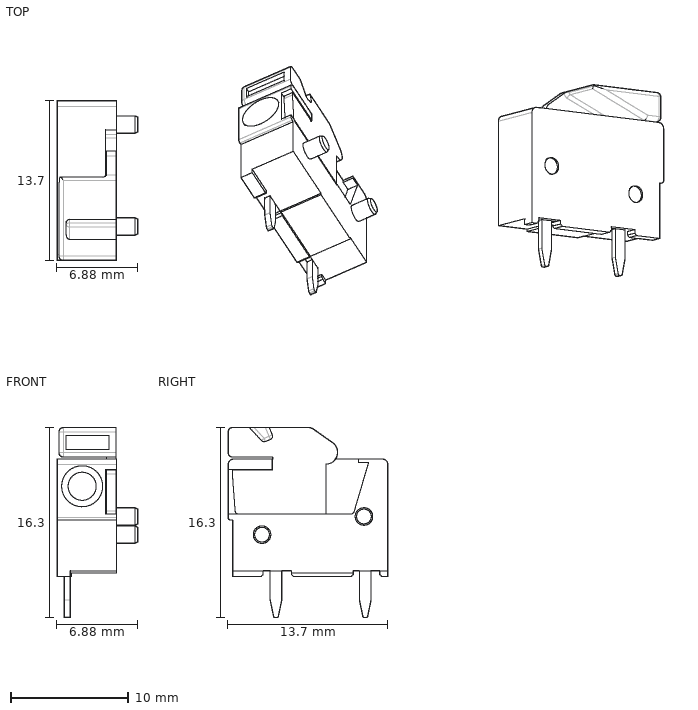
import cadquery as cq
import math


HOUSING_WIDTH = 5.08
HOUSING_DEPTH = 13.65
HOUSING_HEIGHT = 10.06
TOP_EDGE_RADIUS = 0.5
OVERHANG_DEPTH = 0.4
OVERHANG_BOTTOM = 4.83
OVERHANG_RADIUS = 0.22

FOOT_HEIGHT = 0.5
FOOT_WIDTH = 1.1
MIDDLE_FOOT_WIDTH = 1.22
RIB_BOTTOM = 0.3
NOTCH_CHAMFER = 0.19
FRONT_NOTCH = (3.0, 5.41)
REAR_NOTCH = (10.69, 12.94)

PEG_CENTERS = [(2.9, 3.59), (11.6, 5.14)]
PEG_RADIUS = 0.75
PEG_LENGTH = 1.8
PEG_CHAMFER_LENGTH = 0.22
PEG_CHAMFER_RADIAL = 0.12
PEG_HOLE_RADIUS = 0.715
PEG_HOLE_DEPTH = 0.2

ENTRY_X = 2.13
ENTRY_Z = 7.72
ENTRY_RADIUS = 1.75
ENTRY_DEPTH = 4.0
CONE_END_RADIUS = 1.2
CONE_DEPTH = 1.0

CLEARANCE = 0.06
LEVER_LEFT = 0.14
LEVER_RIGHT = HOUSING_WIDTH - CLEARANCE
LEVER_TOP = 12.75
LEVER_BOTTOM = 10.2
LEVER_EDGE_RADIUS = 0.4
PLATE_LEFT = 4.2
PIVOT_Y = 8.35
PIVOT_Z = 10.62
PIVOT_RADIUS = 1.01
REAR_SLOPE = math.radians(35.1)
REAR_TOP_RADIUS = 0.8
UNDERSIDE_SLOPE = math.radians(22.2)
UNDERSIDE_START_Y = 1.65
NOSE_Y = 7.12
NOSE_RADIUS = 0.2
WEB_RADIUS = 0.3
STEM_FRONT = 3.81
ARM_TOP = 9.1
ARM_FRONT_TOP = 0.37
ARM_FRONT_BOTTOM = 0.62
ARM_SLOPE_START = 8.75
ARM_BOTTOM_RADIUS = 0.3

WINDOW_LEFT = 0.75
WINDOW_RIGHT = 4.42
WINDOW_BOTTOM = 10.84
WINDOW_TOP = 12.05
WINDOW_DEPTH = 0.4
GROOVE_LEFT = 0.77
GROOVE_REAR = 3.51
GROOVE_FRONT = 1.8
GROOVE_REAR_LENGTH = 1.0
GROOVE_FRONT_SLOPE = math.radians(47)
GROOVE_RADIUS = 0.3

POCKET_LEFT = PLATE_LEFT - CLEARANCE
POCKET_FLOOR = 5.35
POCKET_FRONT_CEILING = 9.15
SLOT_FRONT = STEM_FRONT - CLEARANCE
SLOT_REAR = 11.15
REAR_LIP_THICKNESS = 0.3
POCKET_REAR_FLOOR = 10.7
POCKET_REAR_TOP = 12.0
POCKET_CORNER_RADIUS = 0.3

PIN_LEFT = 0.6
PIN_THICKNESS = 0.52
PIN_WIDTH = 1.02
PIN_PITCH = 7.62
FRONT_PIN_Y = 4.09
PIN_CENTERS = [FRONT_PIN_Y, FRONT_PIN_Y + PIN_PITCH]
PIN_BOTTOM = -3.5
PIN_TAPER_START = -1.97
PIN_TIP_WIDTH = 0.38
PIN_TIP_RADIUS = 0.15
BAR_HEIGHT = 1.0


def box(x_range, y_range, z_range):
    """Axis-aligned block between the given limits."""
    size = [limits[1] - limits[0] for limits in (x_range, y_range, z_range)]
    corner = (x_range[0], y_range[0], z_range[0])
    return cq.Workplane("XY").box(*size, centered=False).translate(corner)


def side_plane(x):
    """Workplane at the given X whose local axes are Y and Z."""
    return cq.Workplane("YZ", origin=(x, 0, 0))


def prism(points, x_start, x_end):
    """Straight-sided Y-Z outline extruded along X."""
    return side_plane(x_start).polyline(points).close().extrude(x_end - x_start)


def housing_block():
    block = box((0, HOUSING_WIDTH), (0, HOUSING_DEPTH), (0, HOUSING_HEIGHT))
    block = block.edges("|X and >Z").fillet(TOP_EDGE_RADIUS)
    block = block.cut(box((0, HOUSING_WIDTH), (0, OVERHANG_DEPTH), (0, OVERHANG_BOTTOM)))
    return block.edges("|X and <Y").edges("<Z").fillet(OVERHANG_RADIUS)


def pin_notch(y_front, y_rear):
    """Cut across the feet with flared lower corners."""
    points = [
        (y_front - NOTCH_CHAMFER, 0),
        (y_front, NOTCH_CHAMFER),
        (y_front, FOOT_HEIGHT),
        (y_rear, FOOT_HEIGHT),
        (y_rear, NOTCH_CHAMFER),
        (y_rear + NOTCH_CHAMFER, 0),
    ]
    return prism(points, 0, HOUSING_WIDTH)


def underside_relief():
    """Space beside the feet; a shallower rib remains beside the middle foot."""
    front = box((FOOT_WIDTH, HOUSING_WIDTH), (0, FRONT_NOTCH[1]), (0, FOOT_HEIGHT))
    middle = box((MIDDLE_FOOT_WIDTH, HOUSING_WIDTH), (FRONT_NOTCH[1], REAR_NOTCH[0]), (0, RIB_BOTTOM))
    rear = box((FOOT_WIDTH, HOUSING_WIDTH), (REAR_NOTCH[0], HOUSING_DEPTH), (0, FOOT_HEIGHT))
    return front.union(middle).union(rear)


def wire_entry():
    profile = [
        (0, 0),
        (ENTRY_RADIUS, 0),
        (ENTRY_RADIUS, ENTRY_DEPTH),
        (CONE_END_RADIUS, ENTRY_DEPTH + CONE_DEPTH),
        (0, ENTRY_DEPTH + CONE_DEPTH),
    ]
    bore = cq.Workplane("XY").polyline(profile).close().revolve(360, (0, 0), (0, 1))
    return bore.translate((ENTRY_X, 0, ENTRY_Z))


def lever_pocket():
    lip_bottom = HOUSING_HEIGHT - REAR_LIP_THICKNESS
    points = [
        (0, POCKET_FLOOR),
        (POCKET_REAR_FLOOR, POCKET_FLOOR),
        (POCKET_REAR_TOP, lip_bottom),
        (SLOT_REAR, lip_bottom),
        (SLOT_REAR, HOUSING_HEIGHT),
        (SLOT_FRONT, HOUSING_HEIGHT),
        (SLOT_FRONT, POCKET_FRONT_CEILING),
        (0, POCKET_FRONT_CEILING),
    ]
    pocket = prism(points, POCKET_LEFT, HOUSING_WIDTH)
    rear_corner = cq.selectors.NearestToPointSelector((POCKET_LEFT, POCKET_REAR_FLOOR, POCKET_FLOOR))
    return pocket.edges("|X").edges(rear_corner).fillet(POCKET_CORNER_RADIUS)


def peg(y, z):
    body = side_plane(HOUSING_WIDTH).center(y, z).circle(PEG_RADIUS).extrude(PEG_LENGTH)
    return body.faces(">X").chamfer(PEG_CHAMFER_LENGTH, PEG_CHAMFER_RADIAL)


def build_housing():
    body = housing_block()
    for notch in (FRONT_NOTCH, REAR_NOTCH):
        body = body.cut(pin_notch(*notch))
    body = body.cut(underside_relief()).cut(wire_entry()).cut(lever_pocket())
    for y, z in PEG_CENTERS:
        body = body.union(peg(y, z))
        body = body.cut(side_plane(0).center(y, z).circle(PEG_HOLE_RADIUS).extrude(PEG_HOLE_DEPTH))
    return body


SLOPE_START_Y = PIVOT_Y + PIVOT_RADIUS * math.sin(REAR_SLOPE)
SLOPE_START_Z = PIVOT_Z + PIVOT_RADIUS * math.cos(REAR_SLOPE)
SLOPE_END_Y = SLOPE_START_Y - (LEVER_TOP - SLOPE_START_Z) / math.tan(REAR_SLOPE)

NOSE_Z = LEVER_BOTTOM + (NOSE_Y - UNDERSIDE_START_Y) * math.tan(UNDERSIDE_SLOPE)


def edge_at(y, z):
    """Selector for the X-direction edge nearest to the given Y-Z corner."""
    return cq.selectors.NearestToPointSelector(((LEVER_LEFT + LEVER_RIGHT) / 2, y, z))


def head_block():
    """Block with the front and the closed side rounded over."""
    block = box((LEVER_LEFT, LEVER_RIGHT), (0, HOUSING_DEPTH), (LEVER_BOTTOM, LEVER_TOP))
    return block.edges("<X or <Y").edges("not (>X or >Y)").fillet(LEVER_EDGE_RADIUS)


def rear_round():
    """Everything below the lever top and the rear slope, rounded where the two meet."""
    points = [
        (0, 0),
        (0, LEVER_TOP),
        (SLOPE_END_Y, LEVER_TOP),
        (SLOPE_START_Y, SLOPE_START_Z),
        (SLOPE_START_Y, 0),
    ]
    outline = prism(points, LEVER_LEFT, LEVER_RIGHT)
    return outline.edges("|X").edges(edge_at(SLOPE_END_Y, LEVER_TOP)).fillet(REAR_TOP_RADIUS)


def tapered_outline(x_start):
    """Blunt-nosed wedge above the rising underside, square where it will be trimmed."""
    points = [
        (0, HOUSING_DEPTH),
        (0, LEVER_BOTTOM - UNDERSIDE_START_Y * math.tan(UNDERSIDE_SLOPE)),
        (NOSE_Y, NOSE_Z),
        (NOSE_Y, HOUSING_DEPTH),
    ]
    outline = prism(points, x_start, LEVER_RIGHT)
    return outline.edges("|X").edges(edge_at(NOSE_Y, NOSE_Z)).fillet(NOSE_RADIUS)


def web_blend():
    """Concave round where the underside and nose of the head meet the web."""
    wedge = tapered_outline(PLATE_LEFT - 2 * WEB_RADIUS)
    web = box((PLATE_LEFT, LEVER_RIGHT), (0, HOUSING_DEPTH), (0, HOUSING_DEPTH))
    margin = CLEARANCE / 2
    seam = cq.selectors.BoxSelector(
        (PLATE_LEFT - margin, margin, 0),
        (PLATE_LEFT + margin, NOSE_Y + margin, HOUSING_DEPTH - margin),
    )
    blend = wedge.union(web).edges(seam).fillet(WEB_RADIUS)
    return blend.intersect(rear_round()).intersect(head_block())


def underside_round():
    """Everything above the sloping underside, with its closed-side edge rounded."""
    reach = HOUSING_DEPTH
    block = box((LEVER_LEFT, LEVER_RIGHT), (-reach, reach), (0, reach))
    block = block.edges("<X and <Z").fillet(LEVER_EDGE_RADIUS)
    block = block.rotate((0, 0, 0), (1, 0, 0), math.degrees(UNDERSIDE_SLOPE))
    return block.translate((0, UNDERSIDE_START_Y, LEVER_BOTTOM))


def lever_plate():
    """Thin web from the head through the slot to the arm behind the front opening."""
    pivot_rear = (PIVOT_Y + PIVOT_RADIUS, PIVOT_Z)
    pivot_bottom = (PIVOT_Y, PIVOT_Z - PIVOT_RADIUS)
    plate = (
        side_plane(PLATE_LEFT)
        .moveTo(UNDERSIDE_START_Y, LEVER_BOTTOM)
        .lineTo(UNDERSIDE_START_Y, LEVER_TOP)
        .lineTo(SLOPE_END_Y, LEVER_TOP)
        .lineTo(SLOPE_START_Y, SLOPE_START_Z)
        .threePointArc(pivot_rear, pivot_bottom)
        .lineTo(PIVOT_Y, POCKET_FLOOR)
        .lineTo(ARM_FRONT_BOTTOM, POCKET_FLOOR)
        .lineTo(ARM_FRONT_TOP, ARM_SLOPE_START)
        .lineTo(ARM_FRONT_TOP, ARM_TOP)
        .lineTo(STEM_FRONT, ARM_TOP)
        .lineTo(STEM_FRONT, LEVER_BOTTOM)
        .close()
        .extrude(LEVER_RIGHT - PLATE_LEFT)
    )
    plate = plate.edges("|X").edges(edge_at(SLOPE_END_Y, LEVER_TOP)).fillet(REAR_TOP_RADIUS)
    return plate.edges("|X").edges(edge_at(ARM_FRONT_BOTTOM, POCKET_FLOOR)).fillet(ARM_BOTTOM_RADIUS)


def finger_groove():
    """V-shaped groove in the lever top: undercut rear wall, falling floor, rising front."""
    corner_y = GROOVE_REAR + GROOVE_REAR_LENGTH * math.sin(UNDERSIDE_SLOPE)
    corner_z = LEVER_TOP - GROOVE_REAR_LENGTH * math.cos(UNDERSIDE_SLOPE)
    floor_rise = math.tan(UNDERSIDE_SLOPE)
    front_rise = math.tan(GROOVE_FRONT_SLOPE)
    bottom_y = (
        LEVER_TOP - corner_z + corner_y * floor_rise + GROOVE_FRONT * front_rise
    ) / (floor_rise + front_rise)
    bottom_z = LEVER_TOP - (bottom_y - GROOVE_FRONT) * front_rise
    points = [
        (GROOVE_REAR, LEVER_TOP),
        (corner_y, corner_z),
        (bottom_y, bottom_z),
        (GROOVE_FRONT, LEVER_TOP),
    ]
    groove = prism(points, GROOVE_LEFT, LEVER_RIGHT)
    groove = groove.edges("|X and (not >Z)").fillet(GROOVE_RADIUS)
    return groove.faces("<X").edges("not >Z").fillet(GROOVE_RADIUS)


def front_window():
    return box((WINDOW_LEFT, WINDOW_RIGHT), (0, WINDOW_DEPTH), (WINDOW_BOTTOM, WINDOW_TOP))


def build_lever():
    rounded_sides = head_block().intersect(underside_round())
    head = tapered_outline(LEVER_LEFT).intersect(rear_round()).intersect(rounded_sides)
    body = head.union(web_blend()).union(lever_plate())
    return body.cut(finger_groove()).cut(front_window())


def solder_pin(y):
    half_width = PIN_WIDTH / 2
    half_tip = PIN_TIP_WIDTH / 2
    points = [
        (y - half_width, FOOT_HEIGHT),
        (y - half_width, PIN_TAPER_START),
        (y - half_tip, PIN_BOTTOM),
        (y + half_tip, PIN_BOTTOM),
        (y + half_width, PIN_TAPER_START),
        (y + half_width, FOOT_HEIGHT),
    ]
    pin = prism(points, PIN_LEFT, PIN_LEFT + PIN_THICKNESS)
    return pin.edges("|X and <Z").fillet(PIN_TIP_RADIUS)


def build_contact():
    ends = (PIN_CENTERS[0] - PIN_WIDTH / 2, PIN_CENTERS[-1] + PIN_WIDTH / 2)
    body = box((PIN_LEFT, PIN_LEFT + PIN_THICKNESS), ends, (FOOT_HEIGHT, FOOT_HEIGHT + BAR_HEIGHT))
    for y in PIN_CENTERS:
        body = body.union(solder_pin(y))
    return body


contact = build_contact()
lever = build_lever()
housing = build_housing().cut(contact)

result = cq.Compound.makeCompound([body.solids().val() for body in (housing, lever, contact)])